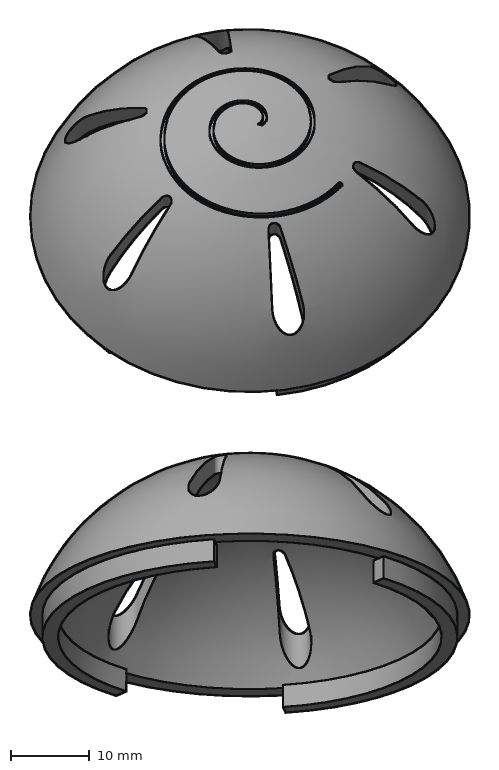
import cadquery as cq
import math

rim_radius = 28.0
dome_height = 20.0
wall = 2.0
inner_rim_radius = 25.5
inner_dome_height = dome_height - wall

lip_outer_radius = 26.45
lip_inner_radius = lip_outer_radius - wall
lip_height = 3.0
lip_gap_angle = 50.0

vent_count = 6
vent_inner_center = 14.6
vent_outer_center = 22.55
vent_inner_radius = 0.8
vent_outer_radius = 2.0

groove_depth = 0.5
groove_turns = 1.96
groove_outer_start = 1.6
groove_outer_pitch = 6.3
groove_inner_start = 1.05
groove_inner_pitch = 6.3
curve_points = 80


def dome_ball(base_radius, height, inset=0):
    """Sphere through a circle on Z = 0 and an apex, shrunk by inset about its center."""
    radius = (base_radius**2 + height**2) / (2 * height)
    return cq.Workplane("XY").sphere(radius - inset).translate((0, 0, height - radius))


def polar(radius, angle):
    return (radius * math.cos(angle), radius * math.sin(angle))


def make_shell():
    above_rim = cq.Workplane("XY").circle(rim_radius).extrude(dome_height)
    solid_dome = dome_ball(rim_radius, dome_height).intersect(above_rim)
    return solid_dome.cut(dome_ball(inner_rim_radius, inner_dome_height))


def make_lip():
    ring = (
        cq.Workplane("XY")
        .circle(lip_outer_radius)
        .circle(lip_inner_radius)
        .extrude(-lip_height)
    )
    gap_reach = rim_radius
    gap_half_width = gap_reach * math.tan(math.radians(lip_gap_angle / 2))
    for side in (-1, 1):
        gap = (
            cq.Workplane("XY")
            .polyline([
                (0, 0),
                (gap_half_width, side * gap_reach),
                (-gap_half_width, side * gap_reach),
            ])
            .close()
            .extrude(-lip_height)
        )
        ring = ring.cut(gap)
    return ring


def make_vent():
    center_distance = vent_outer_center - vent_inner_center
    tangent_angle = math.acos((vent_inner_radius - vent_outer_radius) / center_distance)
    inner_x, inner_y = polar(vent_inner_radius, tangent_angle)
    outer_x, outer_y = polar(vent_outer_radius, tangent_angle)
    inner_x += vent_inner_center
    outer_x += vent_outer_center
    return (
        cq.Workplane("XY")
        .moveTo(inner_x, inner_y)
        .threePointArc((vent_inner_center - vent_inner_radius, 0), (inner_x, -inner_y))
        .lineTo(outer_x, -outer_y)
        .threePointArc((vent_outer_center + vent_outer_radius, 0), (outer_x, outer_y))
        .close()
        .extrude(dome_height)
    )


def make_groove():
    def inner_edge(turns):
        return polar(groove_inner_start + groove_inner_pitch * turns, 2 * math.pi * turns)

    def outer_edge(turns):
        return polar(groove_outer_start + groove_outer_pitch * turns, 2 * math.pi * turns)

    band = (
        cq.Workplane("XY")
        .parametricCurve(inner_edge, N=curve_points, stop=groove_turns, makeWire=False)
        .lineTo(*outer_edge(groove_turns))
        .parametricCurve(
            lambda t: outer_edge(groove_turns - t), N=curve_points, stop=groove_turns, makeWire=False
        )
        .lineTo(*inner_edge(0))
        .wire()
        .extrude(dome_height)
    )
    return band.cut(dome_ball(rim_radius, dome_height, groove_depth))


result = make_shell().union(make_lip())
vent = make_vent()
for index in range(vent_count):
    result = result.cut(vent.rotate((0, 0, 0), (0, 0, 1), index * 360 / vent_count))
result = result.cut(make_groove())